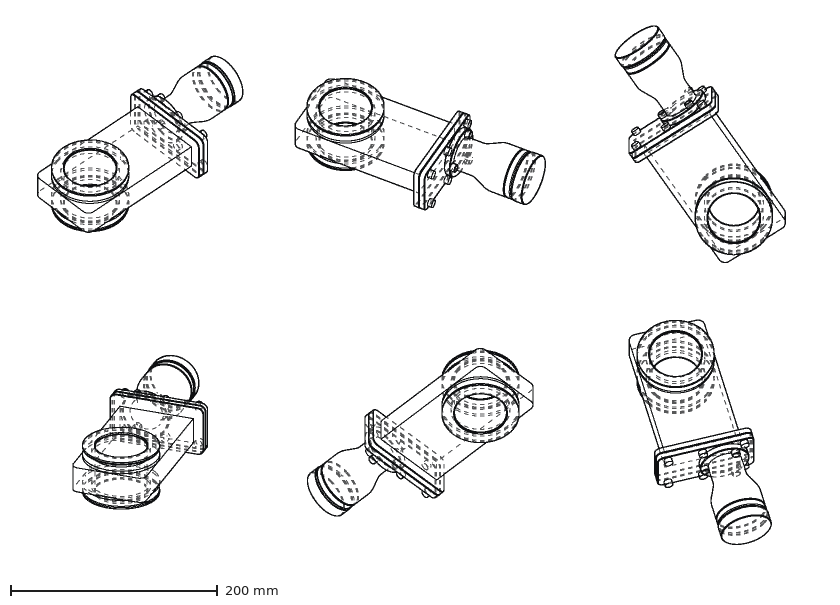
import cadquery as cq
import math

overall_length = 234.3
overall_height = 50.5

body_width = 75.7
body_height = 26.2
body_length = 137.0
body_front_y = -38.2
body_corner_radius = 7.0

port_flange_radius = 37.5
port_neck_radius = 28.5
port_base_thickness = 2.8
port_rim_thickness = 1.6
port_taper_top = 2.8
port_taper_bottom = 5.5
port_taper_radius = 37.0
bore_radius = 25.0
seat_radius = 26.0
seat_depth = 1.6

plate_width = 96.8
plate_thickness = 6.0
plate_corner_radius = 6.3
plate_chamfer = 0.59

actuator_x = -17.3
actuator_flange_radius = 24.5
actuator_flange_thickness = 6.3
actuator_flange_chamfer = 0.7
neck_radius = 16.9
barrel_radius = 24.8
cap_radius = overall_height / 2
cap_length = 11.2
cap_chamfer = 0.7
neck_length = 17.3
barrel_length = 17.0
band_length = 5.2
groove_depth = 0.7
v_groove_width = 1.5
cap_groove_width = 1.6
cone_angle = math.radians(24)
blend_length = 5.6

head_radius = 4.0
plate_head_height = 4.5
plate_screw_z = 20.2
plate_screw_spread = 20.9
end_screw_x = 38.2
flange_head_height = 5.0
flange_head_chamfer = 0.5
flange_screw_circle = 20.6
flange_screw_count = 3

body_back_y = body_front_y + body_length
bonnet_top_y = body_back_y + 2 * plate_thickness
actuator_flange_top_y = bonnet_top_y + actuator_flange_thickness
valve_back_y = body_front_y + overall_length


def box_along_y(width, height, start_y, length):
    """Block centred on X and Z that grows toward +Y from start_y."""
    return cq.Workplane("XY").box(width, length, height).translate((0, start_y + length / 2, 0))


def head_along_y(x, z, start_y, height):
    """Cylindrical screw head that grows toward +Y from start_y."""
    centre = cq.Vector(x, start_y, z)
    return cq.Workplane(cq.Solid.makeCylinder(head_radius, height, centre, cq.Vector(0, 1, 0)))


def make_body():
    body = box_along_y(body_width, body_height, body_front_y, body_length)
    return body.edges("|Z and <Y").fillet(body_corner_radius)


def make_port():
    """Upper port: base ring, neck and tapered clamp flange."""
    base_z = body_height / 2
    face_z = overall_height / 2
    profile = (
        cq.Workplane("XZ")
        .moveTo(0, base_z)
        .lineTo(port_flange_radius, base_z)
        .lineTo(port_flange_radius, base_z + port_base_thickness)
        .lineTo(port_neck_radius, base_z + port_base_thickness)
        .lineTo(port_neck_radius, face_z - port_taper_bottom)
        .lineTo(port_taper_radius, face_z - port_taper_top)
        .lineTo(port_flange_radius, face_z - port_rim_thickness)
        .lineTo(port_flange_radius, face_z)
        .lineTo(0, face_z)
        .close()
    )
    return profile.revolve(360, (0, 0), (0, 1))


def make_bore():
    """Through bore with a shallow centring seat at each port face."""
    bore = cq.Workplane("XY").circle(bore_radius).extrude(overall_height / 2, both=True)
    seat = (
        cq.Workplane("XY")
        .workplane(offset=overall_height / 2 - seat_depth)
        .circle(seat_radius)
        .extrude(seat_depth)
    )
    return bore.union(seat).union(seat.mirror("XY"))


def make_bonnet_plate(start_y):
    plate = box_along_y(plate_width, overall_height, start_y, plate_thickness)
    plate = plate.edges("|Y").fillet(plate_corner_radius)
    return plate.faces("<Y or >Y").edges().chamfer(plate_chamfer)


def make_actuator():
    flange_edge = actuator_flange_radius - actuator_flange_chamfer
    blend_rise = blend_length * math.tan(cone_angle / 2)
    cone_length = (barrel_radius - neck_radius - 2 * blend_rise) / math.tan(cone_angle)
    groove_radius = barrel_radius - groove_depth

    neck_end = actuator_flange_top_y + neck_length
    cone_start = neck_end + blend_length
    cone_end = cone_start + cone_length
    barrel_start = cone_end + blend_length
    barrel_end = barrel_start + barrel_length
    band_start = barrel_end + v_groove_width
    band_end = band_start + band_length
    cap_start = valve_back_y - cap_length

    profile = (
        cq.Workplane("XY", origin=(actuator_x, 0, 0))
        .moveTo(0, bonnet_top_y)
        .lineTo(flange_edge, bonnet_top_y)
        .lineTo(actuator_flange_radius, bonnet_top_y + actuator_flange_chamfer)
        .lineTo(actuator_flange_radius, actuator_flange_top_y - actuator_flange_chamfer)
        .lineTo(flange_edge, actuator_flange_top_y)
        .lineTo(neck_radius, actuator_flange_top_y)
        .lineTo(neck_radius, neck_end)
        .tangentArcPoint((neck_radius + blend_rise, cone_start), relative=False)
        .lineTo(barrel_radius - blend_rise, cone_end)
        .tangentArcPoint((barrel_radius, barrel_start), relative=False)
        .lineTo(barrel_radius, barrel_end)
        .lineTo(groove_radius, barrel_end + v_groove_width / 2)
        .lineTo(barrel_radius, band_start)
        .lineTo(barrel_radius, band_end)
        .lineTo(groove_radius, cap_start - cap_groove_width)
        .lineTo(groove_radius, cap_start)
        .lineTo(cap_radius, cap_start)
        .lineTo(cap_radius, valve_back_y - cap_chamfer)
        .lineTo(cap_radius - cap_chamfer, valve_back_y)
        .lineTo(0, valve_back_y)
        .close()
    )
    return profile.revolve(360, (0, 0), (0, 1))


def make_plate_screws():
    """Three screw heads along each long edge of the bonnet."""
    heads = cq.Workplane("XY")
    for x in (actuator_x - plate_screw_spread, actuator_x + plate_screw_spread, end_screw_x):
        for z in (-plate_screw_z, plate_screw_z):
            heads = heads.add(head_along_y(x, z, bonnet_top_y, plate_head_height))
    return heads.combine()


def make_flange_screws():
    """Screw heads evenly spaced around the actuator flange."""
    heads = cq.Workplane("XY")
    for index in range(flange_screw_count):
        angle = 2 * math.pi * index / flange_screw_count
        x = actuator_x + flange_screw_circle * math.cos(angle)
        z = flange_screw_circle * math.sin(angle)
        head = head_along_y(x, z, actuator_flange_top_y, flange_head_height)
        heads = heads.add(head.faces(">Y").edges().chamfer(flange_head_chamfer))
    return heads.combine()


upper_port = make_port()

result = (
    make_body()
    .union(upper_port)
    .union(upper_port.mirror("XY"))
    .cut(make_bore())
    .union(make_bonnet_plate(body_back_y))
    .union(make_bonnet_plate(body_back_y + plate_thickness))
    .union(make_actuator())
    .union(make_plate_screws())
    .union(make_flange_screws())
)